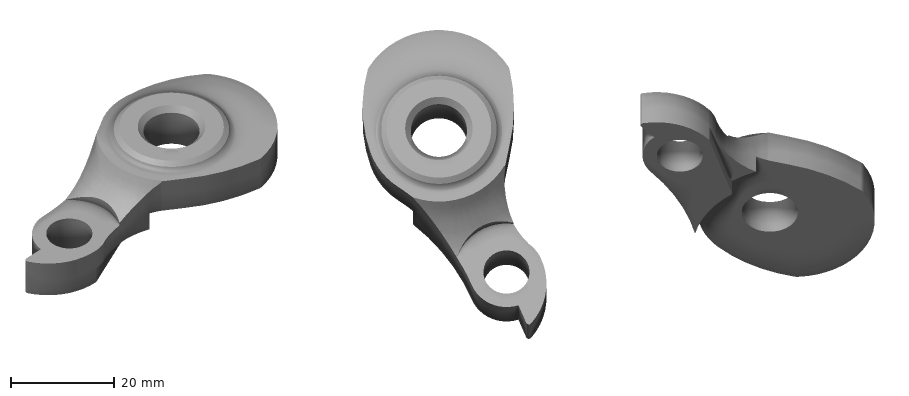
import cadquery as cq
import math


ledge_z = 3.5
plate_bottom_z = 7.5
foot_top_z = 8.05
plate_top_z = 15.0
boss_edge_z = 15.8
boss_top_z = 16.5

hub_radius = 13.95
bore_radius = 5.45
bore_chamfer = 1.1
boss_base_radius = 12.2
boss_edge_radius = 11.15
boss_top_radius = 10.1
flare_hollow = 0.1

plate_center = (3.65, 3.55)
plate_radius = 15.8
plate_start_angle = -15.5
plate_end_angle = 104.0
plate_corner_radius = 2.0
seat_radius = 19.45

foot_center = (-10.0, -27.8)
foot_radius = 7.25
foot_hole_radius = 4.45
foot_face_radius = 10.0
hook_tip = (-15.3, -38.6)
hook_tip_radius = 0.6
ledge_x = -3.3

plate_left_bulge = (-6.9, 13.9)
plate_right_bulge = (13.4, -7.25)
neck_left_hollow = (-13.55, -13.6)
neck_right_hollow = (-0.6, -19.0)
hook_bulge = (-7.3, -35.8)

hub_upper_angle = 152.6
hub_lower_angle = 189.3
hub_right_angle = -58.2

foot_left_angle = 157.0
hook_root_angle = 242.5
hook_start_angle = -22.0
foot_right_angle = 7.0

neck_top_radius = 14.5
neck_middle = (19.1, 10.25)
neck_end = (23.85, foot_top_z)
neck_right = 3.65
neck_edge_y = -14.25

clear_size = 115.75


def on_circle(center, radius, angle):
    """Point of a circle at an angle in degrees from +X."""
    turn = math.radians(angle)
    return (center[0] + radius * math.cos(turn), center[1] + radius * math.sin(turn))


def cylinder(center, radius, bottom, top):
    return cq.Workplane("XY", origin=(*center, bottom)).circle(radius).extrude(top - bottom)


def outline_body():
    """Whole plan outline, extruded from the foot underside to the plate face."""
    origin = (0.0, 0.0)
    plate_start = on_circle(plate_center, plate_radius, plate_start_angle)
    plate_middle_angle = (plate_start_angle + plate_end_angle) / 2
    plate_middle = on_circle(plate_center, plate_radius, plate_middle_angle)
    plate_end = on_circle(plate_center, plate_radius, plate_end_angle)
    hub_upper = on_circle(origin, hub_radius, hub_upper_angle)
    hub_middle = on_circle(origin, hub_radius, (hub_upper_angle + hub_lower_angle) / 2)
    hub_lower = on_circle(origin, hub_radius, hub_lower_angle)
    hub_right = on_circle(origin, hub_radius, hub_right_angle)
    foot_left = on_circle(foot_center, foot_radius, foot_left_angle)
    foot_back = on_circle(foot_center, foot_radius, (foot_left_angle + hook_root_angle) / 2)
    hook_root = on_circle(foot_center, foot_radius, hook_root_angle)
    hook_start = on_circle(foot_center, foot_radius, hook_start_angle)
    foot_front = on_circle(foot_center, foot_radius, (hook_start_angle + foot_right_angle) / 2)
    foot_right = on_circle(foot_center, foot_radius, foot_right_angle)

    body = (
        cq.Workplane("XY")
        .moveTo(*plate_start)
        .threePointArc(plate_middle, plate_end)
        .threePointArc(plate_left_bulge, hub_upper)
        .threePointArc(hub_middle, hub_lower)
        .threePointArc(neck_left_hollow, foot_left)
        .threePointArc(foot_back, hook_root)
        .lineTo(*hook_tip)
        .threePointArc(hook_bulge, hook_start)
        .threePointArc(foot_front, foot_right)
        .threePointArc(neck_right_hollow, (neck_right, neck_edge_y))
        .lineTo(*hub_right)
        .threePointArc(plate_right_bulge, plate_start)
        .close()
        .extrude(plate_top_z)
    )
    for corner, radius in (
        (plate_start, plate_corner_radius),
        (plate_end, plate_corner_radius),
        (hook_tip, hook_tip_radius),
    ):
        edge = cq.selectors.NearestToPointSelector((*corner, plate_top_z / 2))
        body = body.edges("|Z").edges(edge).fillet(radius)
    return body


def neck_cutter():
    """Space above the concave neck and the foot, revolved about the hub axis."""
    sweep = (
        cq.Workplane("XZ")
        .moveTo(neck_top_radius, plate_top_z)
        .threePointArc(neck_middle, neck_end)
        .lineTo(clear_size, neck_end[1])
        .lineTo(clear_size, plate_top_z)
        .close()
        .revolve(360, (0, 0), (0, 1))
    )
    neck_side = cq.Workplane("XY").box(
        clear_size, clear_size, plate_top_z, centered=False
    ).translate((neck_right - clear_size, -clear_size, 0))
    return sweep.intersect(neck_side)


def boss():
    """Raised ring with a concave flare at its base and a chamfered rim."""
    flare_middle = (
        (boss_base_radius + boss_edge_radius) / 2 - flare_hollow,
        (plate_top_z + boss_edge_z) / 2 - flare_hollow,
    )
    return (
        cq.Workplane("XZ")
        .moveTo(0, plate_bottom_z)
        .lineTo(boss_base_radius, plate_bottom_z)
        .lineTo(boss_base_radius, plate_top_z)
        .threePointArc(flare_middle, (boss_edge_radius, boss_edge_z))
        .lineTo(boss_top_radius, boss_top_z)
        .lineTo(0, boss_top_z)
        .close()
        .revolve(360, (0, 0), (0, 1))
    )


def bore():
    """Through bore of the hub with a chamfered mouth."""
    mouth_radius = bore_radius + bore_chamfer
    return (
        cq.Workplane("XZ")
        .lineTo(bore_radius, 0)
        .lineTo(bore_radius, boss_top_z - bore_chamfer)
        .lineTo(mouth_radius, boss_top_z)
        .lineTo(0, boss_top_z)
        .close()
        .revolve(360, (0, 0), (0, 1))
    )


def ledge_cutter():
    """Relief under the +X edge of the neck and foot."""
    return cq.Workplane("XY").box(
        clear_size, clear_size, ledge_z, centered=(False, True, False)
    ).translate((ledge_x, 0, 0))


result = (
    outline_body()
    .cut(neck_cutter())
    .cut(cylinder(foot_center, foot_face_radius, foot_top_z, plate_top_z))
    .cut(cylinder(plate_center, seat_radius, 0, plate_bottom_z))
    .cut(ledge_cutter())
    .union(boss())
    .cut(bore())
    .cut(cylinder(foot_center, foot_hole_radius, 0, foot_top_z))
)